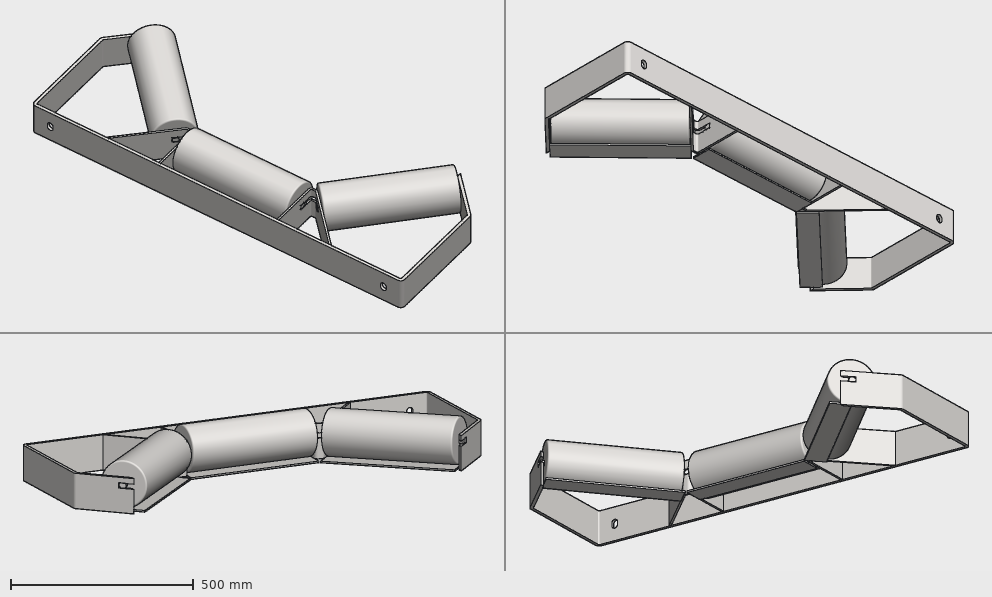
import cadquery as cq
import math

frame_width = 1240.0
bar_height = 100.0
bar_thickness = 10.0
leg_bend_y = 329.0
leg_tip_x = 498.0
bar_inner_radius = 4.0
bar_outer_radius = bar_inner_radius + bar_thickness

mount_slot_x = 558.0
mount_slot_width = 19.0
mount_slot_height = 26.0

roller_radius = 67.0
roller_length = 380.0
roller_rim_radius = 5.0
end_gap = 5.0
diagonal_gap = 2.0
shaft_diameter = 20.0
shaft_flat_height = 15.0

sheet_thickness = 6.0
bracket_top_y = 169.0
sheet_inner_radius = 5.0
sheet_outer_radius = sheet_inner_radius + sheet_thickness

plate_width = 62.0
plate_thickness = 5.0

trough_angle = 45.0
tilt_angle = 1.5
middle_axis_y = 124.0
outer_axis_sum = 97.0

half_span = roller_length / 2 + end_gap
diagonal_reach = roller_length / 2 + diagonal_gap
shaft_length = 2 * (half_span + sheet_thickness)
diagonal = math.sqrt(2)
tilt = math.radians(tilt_angle)

leg_outer_sum = frame_width / 2 + leg_bend_y
leg_inner_sum = leg_outer_sum - bar_thickness * diagonal
bracket_face_sum = leg_inner_sum - (end_gap + roller_length + diagonal_gap) * diagonal

outer_centre_sum = leg_inner_sum - half_span * diagonal
outer_centre_x = (outer_centre_sum + outer_axis_sum) / 2
outer_centre_y = (outer_centre_sum - outer_axis_sum) / 2
outer_centre_z = roller_radius * math.cos(tilt) + diagonal_reach * math.sin(tilt)

SIDES = (-1, 1)
POSITIONS = (-1, 0, 1)


def place(body, position):
    """Move a body from the roller's own axes (axis along X) to one of the three positions."""
    if position == 0:
        return body.translate((0, middle_axis_y, roller_radius))
    tilted = body.rotate((0, 0, 0), (0, 1, 0), -position * tilt_angle)
    turned = tilted.rotate((0, 0, 0), (0, 0, 1), position * trough_angle)
    return turned.translate((position * outer_centre_x, outer_centre_y, outer_centre_z))


def cylinder(radius, length):
    """Cylinder along X, centred on the origin."""
    return cq.Workplane("YZ", origin=(-length / 2, 0, 0)).circle(radius).extrude(length)


def make_roller(position):
    """Roller with rounded rims and a shaft with two flats, in one piece."""
    drum = cylinder(roller_radius, roller_length)
    drum = drum.faces("<X or >X").edges().fillet(roller_rim_radius)
    shaft = cylinder(shaft_diameter / 2, shaft_length)
    flats = cq.Workplane("XY").box(shaft_length, shaft_diameter, shaft_flat_height)
    return place(drum.union(shaft.intersect(flats)), position)


def make_plate(position):
    """Flat plate touching the underside of a roller, from below its axis to one side."""
    if position == 0:
        length = 2 * half_span
        centre_x = 0
    else:
        length = half_span + diagonal_reach
        set_back = (roller_radius + plate_thickness) * math.tan(tilt)
        centre_x = position * ((half_span - diagonal_reach) / 2 - set_back)
    plate = cq.Workplane("XY").box(
        length, plate_width, plate_thickness, centered=(True, False, False)
    )
    return place(plate.translate((centre_x, 0, -roller_radius - plate_thickness)), position)


def shaft_slot(position, end):
    """Cutter for the open-ended slot that takes one end of a shaft."""
    depth = 35.0
    length = roller_radius + shaft_diameter / 2
    slot = cq.Workplane("XY").box(
        depth, length, shaft_flat_height, centered=(True, False, True)
    )
    centre_x = end * (roller_length + depth) / 2
    return place(slot.translate((centre_x, -shaft_diameter / 2, 0)), position)


def make_frame():
    half = frame_width / 2
    tip_y = leg_outer_sum - leg_tip_x
    outer = (
        cq.Workplane("XY")
        .polyline([
            (-half, 0), (half, 0), (half, leg_bend_y),
            (leg_tip_x, tip_y), (-leg_tip_x, tip_y), (-half, leg_bend_y),
        ])
        .close().extrude(bar_height)
        .edges("|Z").edges("<X or >X").fillet(bar_outer_radius)
    )
    inner_half = half - bar_thickness
    inner_bend_y = leg_inner_sum - inner_half
    inner_tip_y = leg_inner_sum - leg_tip_x
    inner = (
        cq.Workplane("XY")
        .polyline([
            (-inner_half, bar_thickness), (inner_half, bar_thickness), (inner_half, inner_bend_y),
            (leg_tip_x, inner_tip_y), (leg_tip_x, tip_y), (-leg_tip_x, tip_y),
            (-leg_tip_x, inner_tip_y), (-inner_half, inner_bend_y),
        ])
        .close().extrude(bar_height)
        .edges("|Z").edges("<X or >X").fillet(bar_inner_radius)
    )
    frame = outer.cut(inner)
    mount_slots = (
        cq.Workplane("XZ", origin=(0, 0, bar_height / 2))
        .pushPoints([(side * mount_slot_x, 0) for side in SIDES])
        .slot2D(mount_slot_height, mount_slot_width, 90)
        .extrude(-bar_thickness)
    )
    frame = frame.cut(mount_slots)
    for side in SIDES:
        frame = frame.cut(shaft_slot(side, side))
    return frame


def bracket_block(inset, fold_radius):
    """Right-hand block bounded by the bracket faces, moved inward by the inset."""
    upright_x = half_span + inset
    top_y = bracket_top_y - inset
    face_sum = bracket_face_sum - inset * diagonal
    return (
        cq.Workplane("XY")
        .polyline([
            (upright_x, bar_thickness), (face_sum - bar_thickness, bar_thickness),
            (face_sum - top_y, top_y), (upright_x, top_y),
        ])
        .close().extrude(bar_height)
        .edges("|Z").edges(">Y").fillet(fold_radius)
    )


def make_bracket(side):
    """Upright and diagonal walls joined by a short folded web, slotted for two shafts."""
    bracket = bracket_block(0, sheet_outer_radius).cut(
        bracket_block(sheet_thickness, sheet_inner_radius)
    )
    if side < 0:
        bracket = bracket.mirror("YZ")
    return bracket.cut(shaft_slot(0, side)).cut(shaft_slot(side, -side))


frame = make_frame()
brackets = [make_bracket(side) for side in SIDES]
rollers = [make_roller(position) for position in POSITIONS]
plates = [make_plate(position) for position in POSITIONS]

result = cq.Compound.makeCompound([
    body.solids().val() for body in [frame, *brackets, *rollers, *plates]
])